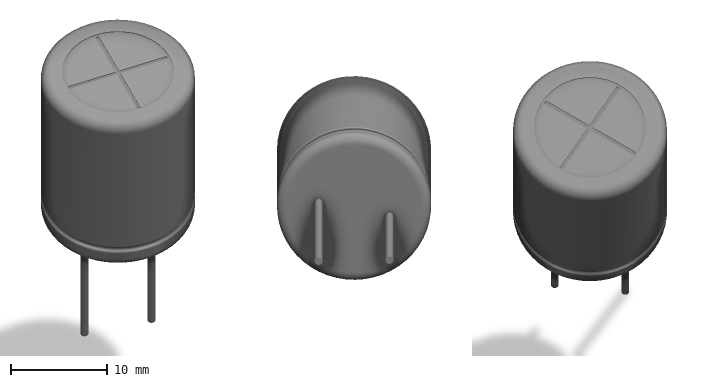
import cadquery as cq
import math

OVERALL_HEIGHT = 41.0

CAN_DIAMETER = 16.0
CAN_HEIGHT = 21.0
RIM_FILLET = 1.0

ARC_MIDDLE = 1 - math.sqrt(0.5)

GROOVE_CENTRE_HEIGHT = 2.5
GROOVE_ROUND = 0.2
GROOVE_FLOOR_WIDTH = 0.15

LID_DIAMETER = 11.55
LID_DEPTH = 0.12
VENT_LENGTH = 11.1
VENT_WIDTH = 0.4
VENT_DEPTH = 0.12
VENT_ANGLES = (45, 135)

LEAD_DIAMETER = 0.8
LEAD_SPACING = 7.5
LONG_LEAD_LENGTH = OVERALL_HEIGHT - CAN_HEIGHT
SHORT_LEAD_LENGTH = 15.0


def make_can_blank():
    """Solid can with the crimp groove and the rounded top and bottom rims."""
    radius = CAN_DIAMETER / 2
    rim_radius = radius - RIM_FILLET
    rim_arc_offset = RIM_FILLET * ARC_MIDDLE
    wall_radius = radius - GROOVE_ROUND
    floor_radius = wall_radius - GROOVE_ROUND
    groove_arc_offset = GROOVE_ROUND * ARC_MIDDLE

    floor_half = GROOVE_FLOOR_WIDTH / 2
    wall_half = floor_half + GROOVE_ROUND
    mouth_half = wall_half + GROOVE_ROUND
    mid = GROOVE_CENTRE_HEIGHT

    convex_mid_radius = radius - groove_arc_offset
    convex_mid_half = wall_half + groove_arc_offset
    concave_mid_radius = floor_radius + groove_arc_offset
    concave_mid_half = wall_half - groove_arc_offset

    profile = (
        cq.Workplane("XZ")
        .lineTo(rim_radius, 0)
        .threePointArc((radius - rim_arc_offset, rim_arc_offset), (radius, RIM_FILLET))
        .lineTo(radius, mid - mouth_half)
        .threePointArc((convex_mid_radius, mid - convex_mid_half), (wall_radius, mid - wall_half))
        .threePointArc((concave_mid_radius, mid - concave_mid_half), (floor_radius, mid - floor_half))
        .lineTo(floor_radius, mid + floor_half)
        .threePointArc((concave_mid_radius, mid + concave_mid_half), (wall_radius, mid + wall_half))
        .threePointArc((convex_mid_radius, mid + convex_mid_half), (radius, mid + mouth_half))
        .lineTo(radius, CAN_HEIGHT - RIM_FILLET)
        .threePointArc(
            (radius - rim_arc_offset, CAN_HEIGHT - rim_arc_offset), (rim_radius, CAN_HEIGHT)
        )
        .lineTo(0, CAN_HEIGHT)
        .close()
    )
    return profile.revolve(360, (0, 0, 0), (0, 1, 0))


def cut_lid_recess(can):
    """Sink the round lid below the edge of the sleeve."""
    recess = cq.Workplane("XY", origin=(0, 0, CAN_HEIGHT)).circle(LID_DIAMETER / 2).extrude(-LID_DEPTH)
    return can.cut(recess)


def cut_vent(can):
    """Score the crossed vent slots into the lid."""
    lid_plane = cq.Workplane("XY", origin=(0, 0, CAN_HEIGHT - LID_DEPTH))
    for angle in VENT_ANGLES:
        slot_plane = lid_plane.transformed(rotate=(0, 0, angle))
        slot = slot_plane.rect(VENT_LENGTH, VENT_WIDTH).extrude(-VENT_DEPTH)
        can = can.cut(slot)
    return can


def make_lead(x, length):
    """Wire hanging from the base of the can at the given X."""
    return cq.Workplane("XY", origin=(x, 0, 0)).circle(LEAD_DIAMETER / 2).extrude(-length)


can = cut_vent(cut_lid_recess(make_can_blank()))

leads = []
for side, length in ((-1, LONG_LEAD_LENGTH), (1, SHORT_LEAD_LENGTH)):
    leads.append(make_lead(side * LEAD_SPACING / 2, length))

result = cq.Compound.makeCompound([can.val(), *[lead.val() for lead in leads]])